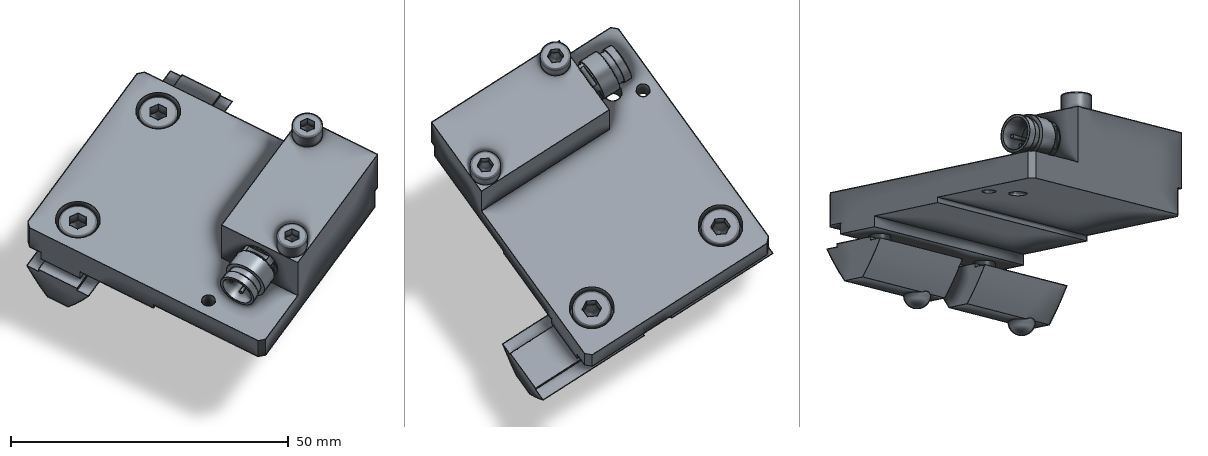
import cadquery as cq
import math


plate_length = 50
plate_width = 40
plate_thickness = 6
corner_chamfer = 1
step_x = 27
step_depth = 1

clamp_x = 7.5
rail_width = 8.25
rail_height = 2

clamp_inset = 6
clamp_ys = (clamp_inset, plate_width - clamp_inset)
clamp_head_diameter = 7
clamp_head_height = 4
clamp_head_recess = 0.4
clamp_shank_diameter = 4
clamp_socket_flats = 3
counterbore_diameter = 8

nut_gap = 2
nut_length = 22
nut_front_offset = -7
nut_lip_width = 8.1
nut_lip_height = 0.6
nut_shoulder_width = 13
nut_bottom_width = 4.4
nut_height = 7.15
nut_flank_bulge = 0.15
ball_diameter = 4.9
ball_offset = 10
rail_bottom_z = -plate_thickness - rail_height
nut_top_z = rail_bottom_z - nut_gap
nut_bottom_z = nut_top_z - nut_height

block_length = 16
block_width = 27.8
block_height = 10.3
block_x = plate_length - block_length
block_front_y = plate_width - block_width

block_screw_diameter = 5.5
block_screw_height = 3
block_screw_side_inset = 2.9
block_screw_end_inset = 2.8
block_socket_flats = 2.5
block_screw_points = (
    (block_x + block_screw_side_inset, plate_width - block_screw_end_inset),
    (plate_length - block_screw_side_inset, block_front_y + block_screw_end_inset),
)

head_edge_radius = 0.3
socket_depth_ratio = 0.7
socket_tip_angle = 120

connector_x = block_x + block_length / 2
connector_z = block_height / 2
neck_diameter = 7.5
neck_length = 1.6
connector_steps = ((neck_diameter, neck_length), (8, 3.4), (6.5, 1.4), (7, 1.5))
connector_length = sum(length for _, length in connector_steps)
flat_distance = 3.1
flat_start = 0.25
flat_length = 1.05
bore_diameter = 6
bore_depth = 5
pin_diameter = 0.7
pin_circle_radius = 2
pin_tip_recess = 1.3
pin_angles = (0, 180, 270)

plate_holes = ((2.45, 36.8, 2.95), (3.25, 39.5, 7.7))


def make_plate():
    plate = (
        cq.Workplane("XY")
        .rect(plate_length, plate_width, centered=False)
        .extrude(-plate_thickness)
        .edges("|Z")
        .chamfer(corner_chamfer)
    )
    step = (
        cq.Workplane("XY", origin=(step_x, 0, -plate_thickness))
        .rect(plate_length - step_x, plate_width, centered=False)
        .extrude(step_depth)
    )
    rail = (
        cq.Workplane("XY", origin=(clamp_x - rail_width / 2, 0, -plate_thickness))
        .rect(rail_width, plate_width, centered=False)
        .extrude(-rail_height)
    )
    plate = plate.cut(step).union(rail)
    for diameter, x, y in plate_holes:
        hole = cq.Workplane("XY", origin=(x, y, 0)).circle(diameter / 2).extrude(-plate_thickness)
        plate = plate.cut(hole)
    return plate


def make_screw_head(diameter, height, socket_flats):
    """Rounded cylinder head standing on Z = 0, with a hexagon socket that ends in a cone."""
    head = (
        cq.Workplane("XY")
        .circle(diameter / 2)
        .extrude(height)
        .faces(">Z")
        .edges()
        .fillet(head_edge_radius)
    )
    corner_diameter = socket_flats / math.cos(math.radians(30))
    socket_depth = socket_flats * socket_depth_ratio
    tip_depth = corner_diameter / 2 / math.tan(math.radians(socket_tip_angle / 2))
    hexagon = (
        cq.Workplane("XY", origin=(0, 0, height))
        .polygon(6, corner_diameter)
        .extrude(-socket_depth - tip_depth)
    )
    pointed_bore = (
        cq.Workplane("XZ")
        .moveTo(0, height)
        .lineTo(corner_diameter / 2, height)
        .lineTo(corner_diameter / 2, height - socket_depth)
        .lineTo(0, height - socket_depth - tip_depth)
        .close()
        .revolve(360, (0, 0), (0, 1))
    )
    return head.cut(hexagon.intersect(pointed_bore))


def make_slot_nut(screw_y):
    lip = nut_lip_width / 2
    shoulder = nut_shoulder_width / 2
    bottom = nut_bottom_width / 2
    shoulder_z = nut_top_z - nut_lip_height
    right_half = (
        cq.Workplane("XZ", origin=(clamp_x, screw_y + nut_front_offset, 0))
        .moveTo(0, nut_top_z)
        .lineTo(lip, nut_top_z)
        .lineTo(lip, shoulder_z)
        .lineTo(shoulder, shoulder_z)
        .sagittaArc((bottom, nut_bottom_z), nut_flank_bulge)
        .lineTo(0, nut_bottom_z)
        .close()
        .extrude(-nut_length)
    )
    nut = right_half.mirror("YZ", (clamp_x, 0, 0), union=True)
    ball = cq.Workplane("XY").sphere(ball_diameter / 2)
    return nut.union(ball.translate((clamp_x, screw_y + ball_offset, nut_bottom_z)))


def add_clamp(body, screw_y):
    """Sink one clamping screw into the plate and hang its slot nut below."""
    head_seat_z = -clamp_head_recess - clamp_head_height
    counterbore = (
        cq.Workplane("XY", origin=(clamp_x, screw_y, 0))
        .circle(counterbore_diameter / 2)
        .extrude(head_seat_z)
    )
    head = make_screw_head(clamp_head_diameter, clamp_head_height, clamp_socket_flats)
    shank = (
        cq.Workplane("XY", origin=(clamp_x, screw_y, head_seat_z))
        .circle(clamp_shank_diameter / 2)
        .extrude(nut_bottom_z - head_seat_z)
    )
    return (
        body.cut(counterbore)
        .union(head.translate((clamp_x, screw_y, head_seat_z)))
        .union(shank)
        .union(make_slot_nut(screw_y))
    )


def make_block():
    block = (
        cq.Workplane("XY", origin=(block_x, block_front_y, 0))
        .rect(block_length, block_width, centered=False)
        .extrude(block_height)
    )
    head = make_screw_head(block_screw_diameter, block_screw_height, block_socket_flats)
    for x, y in block_screw_points:
        block = block.union(head.translate((x, y, block_height)))
    return block


def connector_plane(distance):
    """Plane across the connector axis, facing outwards at a distance from the block."""
    return cq.Workplane("XZ", origin=(connector_x, block_front_y - distance, connector_z))


def make_connector():
    connector = cq.Workplane("XZ")
    start = 0
    for diameter, length in connector_steps:
        connector = connector.union(connector_plane(start).circle(diameter / 2).extrude(length))
        start += length

    flats = (
        connector_plane(flat_start)
        .circle(neck_diameter)
        .rect(2 * flat_distance, 2 * flat_distance)
        .extrude(flat_length)
    )
    bore_floor = connector_length - bore_depth
    bore = connector_plane(bore_floor).circle(bore_diameter / 2).extrude(bore_depth)
    pin_points = [
        (pin_circle_radius * math.cos(math.radians(angle)), pin_circle_radius * math.sin(math.radians(angle)))
        for angle in pin_angles
    ]
    pins = (
        connector_plane(bore_floor)
        .pushPoints(pin_points)
        .circle(pin_diameter / 2)
        .extrude(bore_depth - pin_tip_recess)
    )
    return connector.cut(flats).cut(bore).union(pins)


result = make_plate()
for clamp_y in clamp_ys:
    result = add_clamp(result, clamp_y)
result = result.union(make_block()).union(make_connector())